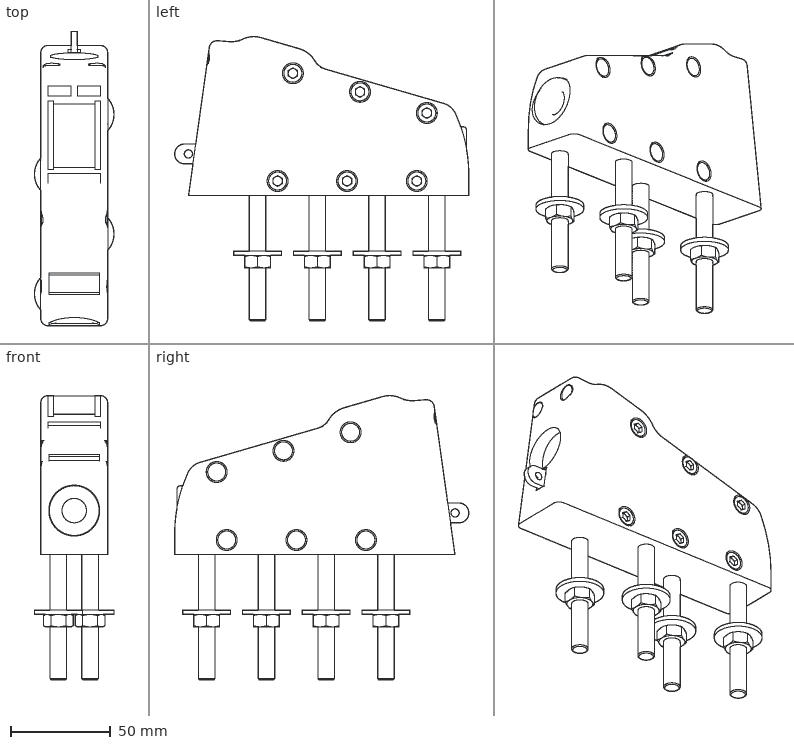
import cadquery as cq
import math

HOUSING_WIDTH = 33.7
HALF_WIDTH = HOUSING_WIDTH / 2
SIDE_FILLET = 3.7
TOP_SLOPE = 0.29
REAR_FOOT_Y = 140.7
FRONT_FLAT_HEIGHT = 10.3
NOSE_RADIUS = 75.0
DECK_FRONT_Z = 45.2
DECK_REAR_Y = 75.5
HUMP_FRONT = (80.0, 72.4)
HUMP_REAR_Y = 109.0
REAR_SHELF_FRONT = (116.7, 77.1)
REAR_TOP = (129.8, 78.1)
NOSE_ROUND = 9.9
STEP_HOLLOW = 9.7
HUMP_FRONT_ROUND = 13.3
HUMP_REAR_ROUND = 12.5
SHELF_HOLLOW = 13.3
REAR_TOP_ROUND = 4.0

PANEL_WIDTH = HOUSING_WIDTH - 2 * SIDE_FILLET
STEP_WALL_Y = 76.5
SHELF_WALL_Y = 115.2
SHELF_POCKET_REAR = (120.2, 77.2)
SHELF_RIB_WIDTH = 3.4
NOTCH_HEIGHT = 8.9
STRIP_WIDTH = 2.7
STRIP_FRONT_Y = 78.4
STRIP_REAR_Y = 112.8
STRIP_DEPTH = 0.07
PAD_FRONT_Y = 79.5
PAD_REAR_Y = 111.2
PAD_DEPTH = 0.1
LABEL_WIDTH = 25.4
LABEL_FRONT_Y = 15.8
LABEL_REAR_Y = 26.6
LABEL_DEPTH = 0.7
LABEL_DRAFT = 1.0

SCREW_CENTRES = [(88.3, 61.5), (54.6, 52.1), (21.1, 41.5), (96.0, 7.4), (61.1, 7.4), (26.1, 7.4)]
SCREW_HOLE_DIAMETER = 10.5
SCREW_HEAD_DIAMETER = 9.0
SCREW_HOLE_DEPTH = 4.5
SCREW_HEAD_RECESS = 0.3
SOCKET_FLATS = 4.7
SOCKET_DEPTH = 2.0
SOCKET_CONE_DEPTH = 1.3

BUSHING_Z = 22.2
BUSHING_FACE_Y = 1.2
BUSHING_DIAMETER = 25.0
BUSHING_HOLE_DIAMETER = 25.5
BUSHING_SEAT_Y = 8.9
BUSHING_LIP_ROUND = 1.6
BORE_DIAMETER = 12.3
BORE_END_Y = 26.6
BORE_END_DIAMETER = 14.8

REAR_PORT_DIAMETER = 24.0
REAR_PORT_Z = 39.1
REAR_PORT_FLOOR_Y = 127.0
REAR_PIN_HOLE_DIAMETER = 8.5
REAR_PIN_DIAMETER = 8.0
REAR_PIN_X = 11.4
REAR_PIN_Z = 68.5
REAR_PIN_FLOOR_Y = 127.8
REAR_PIN_END_Y = 130.5
TAB_THICKNESS = 3.1
TAB_HEIGHT = 10.0
TAB_HOLE_DIAMETER = 4.0
TAB_HOLE_Y = 140.7
TAB_END_Y = 147.7
TAB_Z = 21.0
TAB_ROOT_Y = 132.9
TAB_SLOT_WIDTH = 6.2
TAB_SLOT_HEIGHT = 11.2
TAB_SLOT_FLOOR_Y = 135.9

STUD_COUNT = 4
STUD_FIRST_Y = 16.1
STUD_PITCH = 30.0
STUD_OFFSET_X = 8.0
STUD_DIAMETER = 8.4
STUD_END_Z = -62.8
STUD_CHAMFER = 0.6
STUD_EMBED = 3.0
WASHER_DIAMETER = 24.0
WASHER_TOP_Z = -27.8
WASHER_THICKNESS = 2.2
NUT_FLATS = 13.0
NUT_HEIGHT = 6.2
NUT_CHAMFER_HEIGHT = 0.6


def on_slope(point, y):
    """Height at y of the sloping line through a (Y, Z) point."""
    return point[1] + TOP_SLOPE * (y - point[0])


def extrude_across(profile, width):
    """Extrude a YZ workplane profile symmetrically along X."""
    return profile.extrude(width / 2, both=True)


def cylinder_y(x, z, diameter, y_start, y_end):
    """Cylinder along +Y from y_start to y_end."""
    return (
        cq.Workplane("XZ", origin=(x, y_start, z))
        .circle(diameter / 2)
        .extrude(y_start - y_end)
    )


def nose_point(z):
    """Point on the large nose curve at height z."""
    rise = z - FRONT_FLAT_HEIGHT
    return (NOSE_RADIUS - math.sqrt(NOSE_RADIUS**2 - rise**2), z)


DECK_FRONT = nose_point(DECK_FRONT_Z)
DECK_REAR = (DECK_REAR_Y, on_slope(DECK_FRONT, DECK_REAR_Y))
HUMP_REAR = (HUMP_REAR_Y, on_slope(HUMP_FRONT, HUMP_REAR_Y))


def sharp_profile():
    return (
        cq.Workplane("YZ")
        .moveTo(0, 0)
        .lineTo(0, FRONT_FLAT_HEIGHT)
        .threePointArc(nose_point((FRONT_FLAT_HEIGHT + DECK_FRONT_Z) / 2), DECK_FRONT)
        .lineTo(*DECK_REAR)
        .lineTo(*HUMP_FRONT)
        .lineTo(*HUMP_REAR)
        .lineTo(*REAR_SHELF_FRONT)
        .lineTo(*REAR_TOP)
        .lineTo(REAR_FOOT_Y, 0)
        .close()
    )


def rounded_block(width, inset=0.0):
    """Housing profile with its corners rounded, lowered by inset."""
    block = extrude_across(sharp_profile(), width)
    rounds = [
        (DECK_FRONT, NOSE_ROUND),
        (DECK_REAR, STEP_HOLLOW),
        (HUMP_FRONT, HUMP_FRONT_ROUND),
        (HUMP_REAR, HUMP_REAR_ROUND),
        (REAR_SHELF_FRONT, SHELF_HOLLOW),
        (REAR_TOP, REAR_TOP_ROUND),
    ]
    for (y, z), radius in rounds:
        edge = block.edges("|X").edges(cq.selectors.NearestToPointSelector((0, y, z)))
        block = block.newObject(edge.vals()).fillet(radius)
    return block.translate((0, 0, -inset))


def housing():
    """Rounded block with every side edge filleted except along the base."""
    block = rounded_block(HOUSING_WIDTH)
    rim = block.faces("<X or >X").edges().edges("not <Z")
    return block.newObject(rim.vals()).fillet(SIDE_FILLET)


def notch(front_y, rear_y, floor_point, width):
    """Wedge above a sloping floor that passes through a (Y, Z) point."""
    front_z = on_slope(floor_point, front_y)
    rear_z = on_slope(floor_point, rear_y)
    points = [
        (front_y, front_z),
        (rear_y, rear_z),
        (rear_y, rear_z + NOTCH_HEIGHT),
        (front_y, front_z + NOTCH_HEIGHT),
    ]
    return extrude_across(cq.Workplane("YZ").polyline(points).close(), width)


def step_notch():
    """Carries the deck straight back to an upright wall."""
    deck_angle = math.atan(TOP_SLOPE)
    wall_angle = math.atan2(HUMP_FRONT[1] - DECK_REAR[1], HUMP_FRONT[0] - DECK_REAR[0])
    tangent_length = STEP_HOLLOW * math.tan((wall_angle - deck_angle) / 2)
    hollow_front_y = DECK_REAR_Y - tangent_length * math.cos(deck_angle)
    return notch(hollow_front_y, STEP_WALL_Y, DECK_FRONT, PANEL_WIDTH)


def shelf_notches():
    """Two sloping pockets behind an upright wall, with a rib between them."""
    pocket_width = (PANEL_WIDTH - SHELF_RIB_WIDTH) / 2
    pocket_x = (SHELF_RIB_WIDTH + pocket_width) / 2
    pocket = notch(SHELF_WALL_Y, SHELF_POCKET_REAR[0], SHELF_POCKET_REAR, pocket_width)
    return pocket.translate((-pocket_x, 0, 0)).union(pocket.translate((pocket_x, 0, 0)))


def hump_skin(centre_x, width, front_y, rear_y, depth):
    """Layer of the given depth just under the hump surface."""
    length = rear_y - front_y
    height = HUMP_REAR[1] - DECK_FRONT_Z
    region = cq.Workplane("XY").box(width, length, height, centered=(True, True, False))
    region = region.translate((centre_x, (front_y + rear_y) / 2, DECK_FRONT_Z))
    return region.cut(rounded_block(HOUSING_WIDTH, depth))


def hump_recesses():
    strip_x = (PANEL_WIDTH - STRIP_WIDTH) / 2
    pad_width = PANEL_WIDTH - 2 * STRIP_WIDTH
    recesses = hump_skin(0, pad_width, PAD_FRONT_Y, PAD_REAR_Y, PAD_DEPTH)
    for side in (-1, 1):
        strip = hump_skin(side * strip_x, STRIP_WIDTH, STRIP_FRONT_Y, STRIP_REAR_Y, STRIP_DEPTH)
        recesses = recesses.union(strip)
    return recesses


def label_recess():
    floor_front_y = LABEL_FRONT_Y + LABEL_DRAFT
    floor_rear_y = LABEL_REAR_Y - LABEL_DRAFT
    points = [
        (LABEL_FRONT_Y, on_slope(DECK_FRONT, LABEL_FRONT_Y)),
        (floor_front_y, on_slope(DECK_FRONT, floor_front_y) - LABEL_DEPTH),
        (floor_rear_y, on_slope(DECK_FRONT, floor_rear_y) - LABEL_DEPTH),
        (LABEL_REAR_Y, on_slope(DECK_FRONT, LABEL_REAR_Y)),
    ]
    return extrude_across(cq.Workplane("YZ").polyline(points).close(), LABEL_WIDTH)


def screw_cylinders(diameter, inner_x, outer_x):
    """Cylinders along X on every screw centre, on both sides of the housing."""
    side = (
        cq.Workplane("YZ", origin=(inner_x, 0, 0))
        .pushPoints(SCREW_CENTRES)
        .circle(diameter / 2)
        .extrude(outer_x - inner_x)
    )
    return side.union(side.mirror("YZ"))


def screw_socket():
    """Hexagon socket along +X from the origin, ending in a cone."""
    corner_diameter = SOCKET_FLATS / math.cos(math.pi / 6)
    prism = (
        cq.Workplane("YZ")
        .polygon(6, corner_diameter)
        .extrude(SOCKET_DEPTH)
        .rotate((0, 0, 0), (1, 0, 0), 90)
    )
    cone = cq.Solid.makeCone(
        SOCKET_FLATS / 2, 0, SOCKET_CONE_DEPTH, cq.Vector(SOCKET_DEPTH, 0, 0), cq.Vector(1, 0, 0)
    )
    return prism.union(cq.Workplane(cone))


def add_screws(body):
    floor_x = HALF_WIDTH - SCREW_HOLE_DEPTH
    body = body.cut(screw_cylinders(SCREW_HOLE_DIAMETER, floor_x, HALF_WIDTH))
    body = body.union(screw_cylinders(SCREW_HEAD_DIAMETER, floor_x, HALF_WIDTH - SCREW_HEAD_RECESS))
    for y, z in SCREW_CENTRES:
        body = body.cut(screw_socket().translate((SCREW_HEAD_RECESS - HALF_WIDTH, y, z)))
    return body


def bushing():
    """Ring with a rounded lip and a bell mouth, revolved about its Y axis."""
    lip_radius = BUSHING_DIAMETER / 2
    crest_radius = lip_radius - BUSHING_LIP_ROUND
    bore_radius = BORE_DIAMETER / 2
    bell = crest_radius - bore_radius
    lip_mid = BUSHING_LIP_ROUND * (1 - math.sqrt(0.5))
    bell_mid = bell * (1 - math.sqrt(0.5))
    return (
        cq.Workplane("XY")
        .moveTo(bore_radius, BORE_END_Y)
        .lineTo(bore_radius, BUSHING_FACE_Y + bell)
        .threePointArc(
            (bore_radius + bell_mid, BUSHING_FACE_Y + bell_mid), (crest_radius, BUSHING_FACE_Y)
        )
        .threePointArc(
            (lip_radius - lip_mid, BUSHING_FACE_Y + lip_mid),
            (lip_radius, BUSHING_FACE_Y + BUSHING_LIP_ROUND),
        )
        .lineTo(lip_radius, BORE_END_Y)
        .close()
        .revolve(360, (0, 0, 0), (0, 1, 0))
        .translate((0, 0, BUSHING_Z))
    )


def add_bushing(body):
    body = body.cut(cylinder_y(0, BUSHING_Z, BUSHING_HOLE_DIAMETER, 0, BUSHING_SEAT_Y))
    body = body.union(bushing())
    hollow = (
        cq.Workplane("XY", origin=(0, BORE_END_Y, BUSHING_Z))
        .circle(BORE_END_DIAMETER / 2)
        .extrude(BORE_DIAMETER / 2, both=True)
    )
    far_y = BORE_END_Y + BORE_END_DIAMETER
    bore = cylinder_y(0, BUSHING_Z, BORE_DIAMETER, 0, BORE_END_Y)
    bore_end = cylinder_y(0, BUSHING_Z, BORE_DIAMETER, BORE_END_Y, far_y).intersect(hollow)
    return body.cut(bore).cut(bore_end)


def add_rear_details(body):
    body = body.cut(cylinder_y(0, REAR_PORT_Z, REAR_PORT_DIAMETER, REAR_PORT_FLOOR_Y, REAR_FOOT_Y))
    for x in (-REAR_PIN_X, REAR_PIN_X):
        body = body.cut(cylinder_y(x, REAR_PIN_Z, REAR_PIN_HOLE_DIAMETER, REAR_PIN_FLOOR_Y, REAR_FOOT_Y))
        body = body.union(cylinder_y(x, REAR_PIN_Z, REAR_PIN_DIAMETER, REAR_PIN_FLOOR_Y, REAR_PIN_END_Y))
    slot_length = REAR_FOOT_Y - TAB_SLOT_FLOOR_Y
    slot = cq.Workplane("XY").box(TAB_SLOT_WIDTH, slot_length, TAB_SLOT_HEIGHT)
    body = body.cut(slot.translate((0, TAB_SLOT_FLOOR_Y + slot_length / 2, TAB_Z)))
    return body.union(tab())


def tab():
    """Upright plate with a round end and a hole, standing out of the rear wall."""
    half_height = TAB_HEIGHT / 2
    arc_centre_y = TAB_END_Y - half_height
    outline = (
        cq.Workplane("YZ")
        .moveTo(TAB_ROOT_Y, TAB_Z - half_height)
        .lineTo(arc_centre_y, TAB_Z - half_height)
        .threePointArc((TAB_END_Y, TAB_Z), (arc_centre_y, TAB_Z + half_height))
        .lineTo(TAB_ROOT_Y, TAB_Z + half_height)
        .close()
    )
    hole = cq.Workplane("YZ").center(TAB_HOLE_Y, TAB_Z).circle(TAB_HOLE_DIAMETER / 2)
    return extrude_across(outline, TAB_THICKNESS).cut(extrude_across(hole, TAB_THICKNESS))


def nut():
    """Hexagon nut hanging below Z = 0, corners bevelled at the bottom."""
    corner_radius = NUT_FLATS / 2 / math.cos(math.pi / 6)
    bevel = corner_radius - NUT_FLATS / 2
    blank = cq.Workplane("XY").polygon(6, 2 * corner_radius).extrude(-NUT_HEIGHT)
    envelope = (
        cq.Workplane("XY")
        .circle(corner_radius)
        .extrude(-NUT_HEIGHT)
        .edges()
        .chamfer(NUT_CHAMFER_HEIGHT, bevel)
    )
    return blank.intersect(envelope)


def stud():
    """Stud with its washer and nut, centred on the Z axis."""
    rod = (
        cq.Workplane("XY", origin=(0, 0, STUD_END_Z))
        .circle(STUD_DIAMETER / 2)
        .extrude(STUD_EMBED - STUD_END_Z)
        .faces("<Z")
        .chamfer(STUD_CHAMFER)
    )
    washer = (
        cq.Workplane("XY", origin=(0, 0, WASHER_TOP_Z))
        .circle(WASHER_DIAMETER / 2)
        .extrude(-WASHER_THICKNESS)
    )
    return rod.union(washer).union(nut().translate((0, 0, WASHER_TOP_Z - WASHER_THICKNESS)))


def add_studs(body):
    for index in range(STUD_COUNT):
        x = STUD_OFFSET_X * (-1 if index % 2 == 0 else 1)
        y = STUD_FIRST_Y + index * STUD_PITCH
        body = body.union(stud().translate((x, y, 0)))
    return body


body = housing()
for recess in (step_notch(), shelf_notches(), hump_recesses(), label_recess()):
    body = body.cut(recess)
body = add_screws(body)
body = add_bushing(body)
body = add_rear_details(body)
result = add_studs(body)